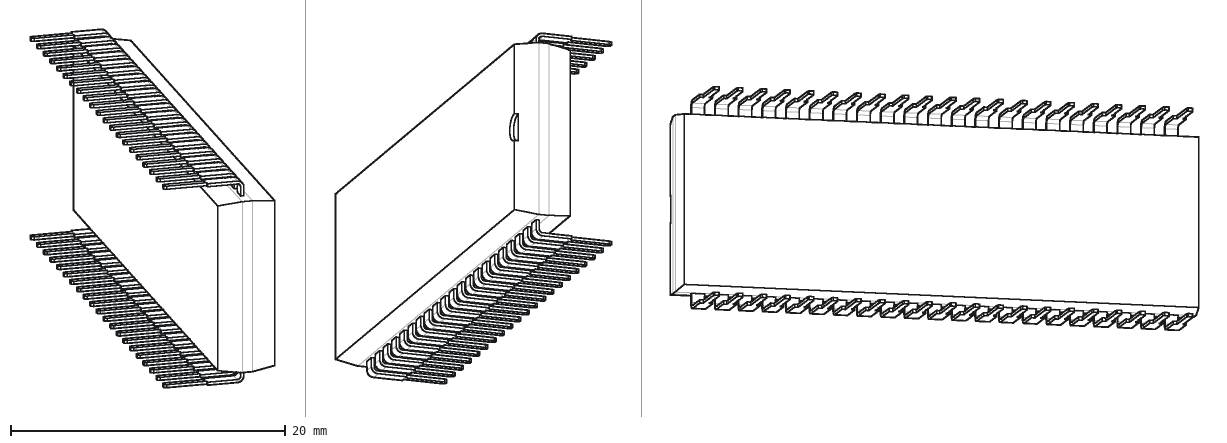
import cadquery as cq
import math

body_length = 39.13
body_height = 13.15
body_thickness = 4.35
band_depth = 0.8
half_depth = (body_thickness - band_depth) / 2
face_inset = 0.243

notch_radius = 1.0
notch_depth = 0.295

leads_per_row = 21
row_length = 35.55
lead_pitch = row_length / (leads_per_row - 1)
lead_thickness = 0.25
row_outer_height = 15.5
bend_outer_radius = 0.5
bend_inner_radius = bend_outer_radius - lead_thickness
shoulder_width = 0.98
pin_width = 0.45
tip_width = 0.3
tip_length = 0.2
shoulder_reach = 4.8
overall_depth = 8.02
lead_embed = 0.4

band_back_y = -half_depth
band_front_y = -(half_depth + band_depth)
lead_back_y = (band_back_y + band_front_y + lead_thickness) / 2
shoulder_y = -shoulder_reach
tip_y = -overall_depth


def section(y):
    """Sketch plane at height y whose normal points to -Y (local x = X, local y = Z)."""
    return cq.Workplane("XZ", origin=(0, y, 0))


def drafted_half(y, depth):
    """Body half growing from the band at y; the sign of depth picks -Y (+) or +Y (-)."""
    draft_angle = math.degrees(math.atan(face_inset / abs(depth)))
    return section(y).rect(body_length, body_height).extrude(depth, taper=draft_angle)


def make_body():
    band = section(band_back_y).rect(body_length, body_height).extrude(band_depth)
    back = drafted_half(band_back_y, -half_depth)
    front = drafted_half(band_front_y, half_depth)
    notch = section(0).center(-body_length / 2 + face_inset, 0).circle(notch_radius).extrude(notch_depth)
    return band.union(back).union(front).cut(notch)


def make_lead():
    """One upper-row lead centred on X = 0: bent strip trimmed to the flat lead outline."""
    outer_z = row_outer_height / 2
    inner_z = outer_z - lead_thickness
    root_z = body_height / 2 - lead_embed
    bend_y = lead_back_y - bend_outer_radius
    bend_z = outer_z - bend_outer_radius
    diagonal = math.sqrt(0.5)
    strip = (
        cq.Workplane("YZ", origin=(-shoulder_width / 2, 0, 0))
        .moveTo(lead_back_y, root_z)
        .lineTo(lead_back_y, bend_z)
        .threePointArc(
            (bend_y + bend_outer_radius * diagonal, bend_z + bend_outer_radius * diagonal),
            (bend_y, outer_z),
        )
        .lineTo(tip_y, outer_z)
        .lineTo(tip_y, inner_z)
        .lineTo(bend_y, inner_z)
        .threePointArc(
            (bend_y + bend_inner_radius * diagonal, bend_z + bend_inner_radius * diagonal),
            (lead_back_y - lead_thickness, bend_z),
        )
        .lineTo(lead_back_y - lead_thickness, root_z)
        .close()
        .extrude(shoulder_width)
    )
    outline = (
        cq.Workplane("XY")
        .moveTo(0, lead_back_y)
        .lineTo(shoulder_width / 2, lead_back_y)
        .lineTo(shoulder_width / 2, shoulder_y)
        .lineTo(pin_width / 2, shoulder_y)
        .lineTo(pin_width / 2, tip_y + tip_length)
        .lineTo(tip_width / 2, tip_y)
        .lineTo(0, tip_y)
        .mirrorY()
        .extrude(row_outer_height)
    )
    return strip.intersect(outline)


upper_lead = make_lead()
lower_lead = upper_lead.mirror("XY")

result = make_body()
for index in range(leads_per_row):
    lead_x = index * lead_pitch - row_length / 2
    for lead in (upper_lead, lower_lead):
        result = result.union(lead.translate((lead_x, 0, 0)))